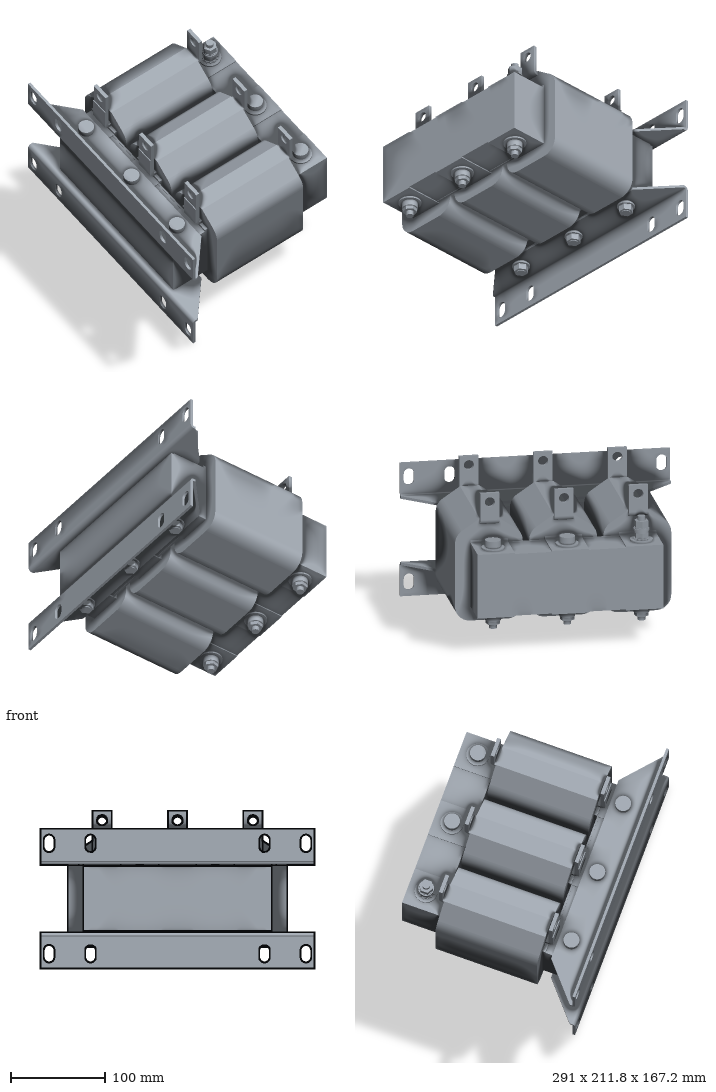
import cadquery as cq
import math


pitch = 80.0
limb_width = pitch / 2
limb_centers = (-pitch, 0, pitch)
core_width = 2 * pitch + limb_width
core_front = 8.0
core_back = 211.8
core_half_height = 34.3
strip_half_height = 35.5
strip_setback = 3.2
front_yoke_back = core_front + limb_width
rear_yoke_front = core_back - limb_width
gap_sheet = 2.0
gap_sheet_half_height = 35.0

coil_width = 73.0
coil_front = 53.5
coil_back = 168.0
coil_top = 61.5
coil_top_flat = 20.7
coil_corner_z = 35.0
coil_radius = (coil_width - limb_width) / 2

bracket_length = 291.0
bracket_sheet = 3.0
bracket_bend = 4.0
bracket_depth = 42.0
bracket_back_width = 209.0
bracket_taper_start = 6.0
bracket_outer_z = 74.2
slot_width = 11.0
slot_length = 18.3
slot_z = 58.5
slot_positions = (-136.2, -92.2, 92.2, 136.2)

terminal_width = coil_top_flat
terminal_sheet = 4.0
terminal_bend = 5.2
terminal_hole = 10.8
terminal_hole_drop = 10.0
front_terminal_face = 45.7
front_terminal_foot = 37.8
front_terminal_top = 93.0
rear_terminal_face = 173.7
rear_terminal_foot = 56.0
rear_terminal_top = 91.0
backing_sheet = 1.0
backing_bottom = 42.0
backing_top = 68.0
tab_height = 2.5
tab_top = strip_half_height + tab_height

front_bolt_y = core_front + limb_width / 2
rear_bolt_y = core_back - limb_width / 2
stud_diameter = 8.1
nut_corners = 15.5
head_diameter = 17.0
head_height = 6.7
neck_diameter = 15.0
neck_height = 1.2
washer_diameter = 24.5
washer_height = 1.7
star_diameter = 19.0
star_root_diameter = 15.7
star_teeth = 12
star_height = 1.5
nut_collar_height = 1.2
nut_flange_diameter = 19.0
nut_flange_height = 1.7
front_nut_height = 6.7
front_bolt_end_diameter = 9.5
front_bolt_end_height = 1.0
lower_stud_nut_height = 5.8
spring_washer_height = 2.5
flat_washer_height = 2.0
upper_stud_nut_height = 7.5
bushing_height = 6.7
rear_nut_height = 4.0
rear_nut_turn = 42
stud_nut_turn = 90
stud_end_height = 5.0


def box(x_center, width, y0, y1, z0, z1):
    """Block centred on x_center in X and spanning the given Y and Z ranges."""
    block = cq.Workplane("XY").box(width, y1 - y0, z1 - z0, centered=(True, False, False))
    return block.translate((x_center, y0, z0))


def make_core():
    """Two yokes and two gap sheets joined by three limbs that stand slightly proud."""
    core = box(0, core_width, core_front, front_yoke_back, -core_half_height, core_half_height)
    core = core.union(
        box(0, core_width, rear_yoke_front, core_back, -core_half_height, core_half_height)
    )
    for sheet_front in (front_yoke_back, rear_yoke_front - gap_sheet):
        sheet_back = sheet_front + gap_sheet
        core = core.union(
            box(
                0,
                core_width,
                sheet_front,
                sheet_back,
                -gap_sheet_half_height,
                gap_sheet_half_height,
            )
        )
    for x in limb_centers:
        strip_front = core_front + strip_setback
        core = core.union(
            box(x, limb_width, strip_front, core_back, -strip_half_height, strip_half_height)
        )
    return core


def make_coil():
    """Coil with round bottom corners and sloped shoulders that run into round corners."""
    half_width = coil_width / 2
    half_flat = coil_top_flat / 2
    corner_x = half_width - coil_radius
    bottom = -coil_corner_z - coil_radius

    dx = half_flat - corner_x
    dz = coil_top - coil_corner_z
    tangent = math.atan2(dz, dx) - math.acos(coil_radius / math.hypot(dx, dz))

    def on_corner(angle, side, corner_z):
        """Point on a round corner; side is 1 for +X and -1 for -X."""
        return (
            side * (corner_x + coil_radius * math.cos(angle)),
            corner_z + coil_radius * math.sin(angle),
        )

    profile = (
        cq.Workplane("XZ", origin=(0, coil_back, 0))
        .moveTo(-half_flat, coil_top)
        .lineTo(half_flat, coil_top)
        .lineTo(*on_corner(tangent, 1, coil_corner_z))
        .threePointArc(on_corner(tangent / 2, 1, coil_corner_z), (half_width, coil_corner_z))
        .lineTo(half_width, -coil_corner_z)
        .threePointArc(on_corner(-math.pi / 4, 1, -coil_corner_z), (corner_x, bottom))
        .lineTo(-corner_x, bottom)
        .threePointArc(on_corner(-math.pi / 4, -1, -coil_corner_z), (-half_width, -coil_corner_z))
        .lineTo(-half_width, coil_corner_z)
        .threePointArc(
            on_corner(tangent / 2, -1, coil_corner_z), on_corner(tangent, -1, coil_corner_z)
        )
        .close()
    )
    return profile.extrude(coil_back - coil_front)


def bent_sheet(length, width, height, sheet, bend):
    """L-shaped sheet along Y with its outer bend at the origin and an upright at Y = 0."""
    sheet_profile = (
        cq.Workplane("YZ", origin=(-width / 2, 0, 0))
        .polyline(
            [(0, 0), (length, 0), (length, sheet), (sheet, sheet), (sheet, height), (0, height)]
        )
        .close()
        .extrude(width)
    )
    bent = sheet_profile.edges(cq.selectors.NearestToPointSelector((0, 0, 0))).fillet(bend)
    inner_edge = cq.selectors.NearestToPointSelector((0, sheet, sheet))
    return bent.edges(inner_edge).fillet(bend - sheet)


def make_upper_bracket():
    """Angle bracket with a tapered plate on the core and a slotted flange turned up."""
    flange_height = bracket_outer_z - strip_half_height
    bracket = bent_sheet(bracket_depth, bracket_length, flange_height, bracket_sheet, bracket_bend)

    half_length = bracket_length / 2
    half_back = bracket_back_width / 2
    outline = (
        cq.Workplane("XY")
        .polyline(
            [
                (-half_length, 0),
                (half_length, 0),
                (half_length, bracket_taper_start),
                (half_back, bracket_depth),
                (-half_back, bracket_depth),
                (-half_length, bracket_taper_start),
            ]
        )
        .close()
        .extrude(flange_height)
    )
    bracket = bracket.intersect(outline).translate((0, 0, strip_half_height))

    slots = (
        cq.Workplane("XZ")
        .pushPoints([(x, slot_z) for x in slot_positions])
        .slot2D(slot_length, slot_width, 90)
        .extrude(-bracket_sheet)
    )
    return bracket.cut(slots)


def make_terminal(length, height):
    """Bent terminal with a screw hole near the top of its upright."""
    terminal = bent_sheet(length, terminal_width, height, terminal_sheet, terminal_bend)
    hole = (
        cq.Workplane("XZ")
        .center(0, height - terminal_hole_drop)
        .circle(terminal_hole / 2)
        .extrude(-terminal_sheet)
    )
    return terminal.cut(hole)


def make_front_terminal():
    """Terminal low on the coil front, with a backing plate and an insulating tab on the limb."""
    foot_length = coil_front - front_terminal_face
    terminal = make_terminal(foot_length, front_terminal_top - front_terminal_foot)
    terminal = terminal.translate((0, front_terminal_face, front_terminal_foot))
    backing_front = front_terminal_face - backing_sheet
    backing = box(
        0, terminal_width, backing_front, front_terminal_face, backing_bottom, backing_top
    )
    tab_front = front_yoke_back + gap_sheet
    tab = box(0, limb_width, tab_front, coil_front, strip_half_height, tab_top)
    return terminal.union(backing).union(tab)


def make_rear_terminal():
    """Terminal high on the coil rear, with an insulating tab on the limb below it."""
    foot_length = rear_terminal_face - coil_back
    terminal = make_terminal(foot_length, rear_terminal_top - rear_terminal_foot)
    terminal = terminal.mirror("XZ").translate((0, rear_terminal_face, rear_terminal_foot))
    tab_back = rear_yoke_front - gap_sheet
    tab = box(0, limb_width, coil_back, tab_back, strip_half_height, tab_top)
    return terminal.union(tab)


def star_washer():
    """Washer with pointed teeth around its rim."""
    points = []
    for i in range(2 * star_teeth):
        radius = (star_root_diameter if i % 2 else star_diameter) / 2
        angle = math.pi * i / star_teeth
        points.append((radius * math.cos(angle), radius * math.sin(angle)))
    return cq.Workplane("XY").polyline(points).close().extrude(star_height)


def stack(layers):
    """Pile up (shape, height) layers from Z = 0."""
    pile = cq.Workplane("XY")
    level = 0
    for shape, height in layers:
        pile = pile.union(shape.translate((0, 0, level)))
        level += height
    return pile


def disc_layer(diameter, height):
    """Round layer of a bolt stack."""
    return cq.Workplane("XY").circle(diameter / 2).extrude(height), height


def hex_layer(corners, height, turn=0):
    """Hexagonal layer of a bolt stack; a turn of zero puts two corners on the X axis."""
    nut = cq.Workplane("XY").polygon(6, corners).extrude(height)
    return nut.rotate((0, 0, 0), (0, 0, 1), turn), height


def place(shape, x, y, level, below=False):
    """Stand a stack at the given level, or hang its mirror image below the core."""
    raised = shape.translate((x, y, level))
    return raised.mirror("XY") if below else raised


washer_layer = disc_layer(washer_diameter, washer_height)
neck_layer = disc_layer(neck_diameter, neck_height)
head_layer = disc_layer(head_diameter, head_height)

front_head = stack([neck_layer, head_layer])
front_nut = stack(
    [
        neck_layer,
        disc_layer(head_diameter, nut_collar_height),
        disc_layer(nut_flange_diameter, nut_flange_height),
        hex_layer(nut_corners, front_nut_height),
        disc_layer(front_bolt_end_diameter, front_bolt_end_height),
    ]
)
rear_head = stack([washer_layer, neck_layer, head_layer])
rear_stud = stack(
    [
        washer_layer,
        (star_washer(), star_height),
        hex_layer(nut_corners, lower_stud_nut_height, stud_nut_turn),
        disc_layer(neck_diameter, spring_washer_height),
        disc_layer(head_diameter, flat_washer_height),
        neck_layer,
        hex_layer(nut_corners, upper_stud_nut_height, stud_nut_turn),
        disc_layer(stud_diameter, stud_end_height),
    ]
)
rear_nut = stack(
    [
        washer_layer,
        disc_layer(head_diameter, bushing_height),
        hex_layer(nut_corners, rear_nut_height, rear_nut_turn),
        disc_layer(stud_diameter, stud_end_height),
    ]
)

upper_bracket = make_upper_bracket()
coil_set = make_coil().union(make_front_terminal()).union(make_rear_terminal())
bracket_face = strip_half_height + bracket_sheet

result = make_core().union(upper_bracket).union(upper_bracket.mirror("XY"))
for x in limb_centers:
    rear_top = rear_stud if x == limb_centers[0] else rear_head
    result = result.union(coil_set.translate((x, 0, 0)))
    result = result.union(place(front_head, x, front_bolt_y, bracket_face))
    result = result.union(place(front_nut, x, front_bolt_y, bracket_face, below=True))
    result = result.union(place(rear_top, x, rear_bolt_y, strip_half_height))
    result = result.union(place(rear_nut, x, rear_bolt_y, strip_half_height, below=True))